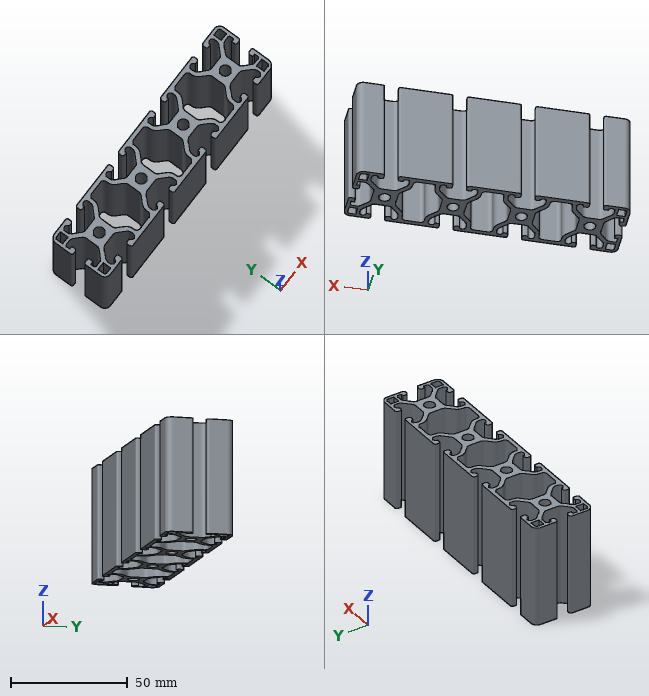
import cadquery as cq

cell_count = 4
pitch = 30.0
half_cell = pitch / 2
length = 50.0
total_width = cell_count * pitch
corner_radius = 3.0

core_half_x = 5.4
core_half_y = 5.3
bore_diameter = 5.0
web_offset = 1.5

lip_depth = 3.0
lip_radius = 1.0
groove_radius = 1.5
outer_wall = lip_depth - groove_radius
lip_back = half_cell - lip_depth
wall_inside = half_cell - outer_wall

slot_half = 3.1
face_lip_end = 5.4
groove_center = face_lip_end + groove_radius
face_slot_side = groove_center + groove_radius
web_root_radius = 2.6
web_tip_radius = 3.0

end_lip_end = 5.6
end_slot_side = 8.0
end_slot_corner_radius = 0.7

corner_hole_x = 9.7
corner_hole_y = 9.5
corner_hole_radius = 1.0

cavity_side = 10.1
cavity_wall = 2.0
cavity_top = half_cell - cavity_wall
cavity_corner_radius = 1.8
cavity_web_radius = 4.8

cell_centers = [(i - (cell_count - 1) / 2) * pitch for i in range(cell_count)]
cavity_centers = [x + half_cell for x in cell_centers[:-1]]
signs = (-1, 1)


def round_edges(body, points, radius):
    """Fillet the vertical edges that stand at the given (x, y) points."""
    uprights = body.edges("|Z")
    chosen = []
    for x, y in points:
        nearest = cq.selectors.NearestToPointSelector((x, y, length / 2))
        chosen.append(uprights.edges(nearest).val())
    return body.newObject(chosen).fillet(radius)


def make_face_slot():
    """Slot of a cell centred on the origin, opening toward +Y."""
    web_root = (core_half_y - web_offset, core_half_y)
    web_tip = (face_slot_side, face_slot_side + web_offset)
    half = (
        cq.Workplane("XY")
        .moveTo(0, core_half_y)
        .lineTo(*web_root)
        .lineTo(*web_tip)
        .lineTo(face_slot_side, lip_back)
        .threePointArc((groove_center, wall_inside), (face_lip_end, lip_back))
        .lineTo(slot_half, lip_back)
        .lineTo(slot_half, half_cell)
        .lineTo(0, half_cell)
        .close()
        .extrude(length)
    )
    half = round_edges(half, [web_root], web_root_radius)
    half = round_edges(half, [web_tip], web_tip_radius)
    return half.union(half.mirror("YZ"))


def make_end_slot():
    """Slot of a cell centred on the origin, opening toward +X."""
    web_root = (core_half_x, core_half_x - web_offset)
    web_tip = (end_slot_side + web_offset, end_slot_side)
    slot_corner = (wall_inside, end_slot_side)
    half = (
        cq.Workplane("XY")
        .moveTo(core_half_x, 0)
        .lineTo(*web_root)
        .lineTo(*web_tip)
        .lineTo(*slot_corner)
        .lineTo(wall_inside, end_lip_end)
        .lineTo(lip_back, end_lip_end)
        .lineTo(lip_back, slot_half)
        .lineTo(half_cell, slot_half)
        .lineTo(half_cell, 0)
        .close()
        .extrude(length)
    )
    half = round_edges(half, [web_root, web_tip], web_root_radius)
    half = round_edges(half, [slot_corner], end_slot_corner_radius)
    return half.union(half.mirror("XZ"))


def make_corner_hole():
    """Hollow in the (+X, +Y) corner of a cell centred on the origin."""
    hole = (
        cq.Workplane("XY")
        .moveTo(corner_hole_x, corner_hole_y)
        .lineTo(wall_inside, corner_hole_y)
        .lineTo(wall_inside, wall_inside)
        .lineTo(corner_hole_x, wall_inside)
        .close()
        .extrude(length)
    )
    return round_edges(hole, [(wall_inside, wall_inside)], corner_hole_radius)


def make_cavity():
    """Cavity centred on the origin, midway between two cores."""
    half_width = half_cell - core_half_x
    side = half_cell - cavity_side
    web_root = (half_width, core_half_x - web_offset)
    web_tip = (side, cavity_side - web_offset)
    wall_corner = (side, cavity_top)
    quarter = (
        cq.Workplane("XY")
        .lineTo(half_width, 0)
        .lineTo(*web_root)
        .lineTo(*web_tip)
        .lineTo(*wall_corner)
        .lineTo(0, cavity_top)
        .close()
        .extrude(length)
    )
    quarter = round_edges(quarter, [web_root], web_root_radius)
    quarter = round_edges(quarter, [web_tip], cavity_web_radius)
    quarter = round_edges(quarter, [wall_corner], cavity_corner_radius)
    half = quarter.union(quarter.mirror("YZ"))
    return half.union(half.mirror("XZ"))


def half_turn(body):
    return body.rotate((0, 0, 0), (0, 0, 1), 180)


profile = cq.Workplane("XY").rect(total_width, pitch).extrude(length).edges("|Z").fillet(corner_radius)

face_slot = make_face_slot()
for x in cell_centers:
    profile = profile.cut(face_slot.translate((x, 0, 0)))
    profile = profile.cut(half_turn(face_slot).translate((x, 0, 0)))

last_center = cell_centers[-1]
end_slot = make_end_slot().translate((last_center, 0, 0))
corner_hole = make_corner_hole().translate((last_center, 0, 0))
end_cutouts = end_slot.union(corner_hole).union(corner_hole.mirror("XZ"))
profile = profile.cut(end_cutouts).cut(half_turn(end_cutouts))

cavity = make_cavity()
for x in cavity_centers:
    profile = profile.cut(cavity.translate((x, 0, 0)))

bores = cq.Workplane("XY").pushPoints([(x, 0) for x in cell_centers]).circle(bore_diameter / 2)
profile = profile.cut(bores.extrude(length))

lip_tips = []
for side_y in signs:
    for side_x in signs:
        for lip_edge in (half_cell, lip_back):
            for x in cell_centers:
                lip_tips.append((x + side_x * slot_half, side_y * lip_edge))
            lip_tips.append((side_x * (last_center + lip_edge), side_y * slot_half))

result = round_edges(profile, lip_tips, lip_radius)